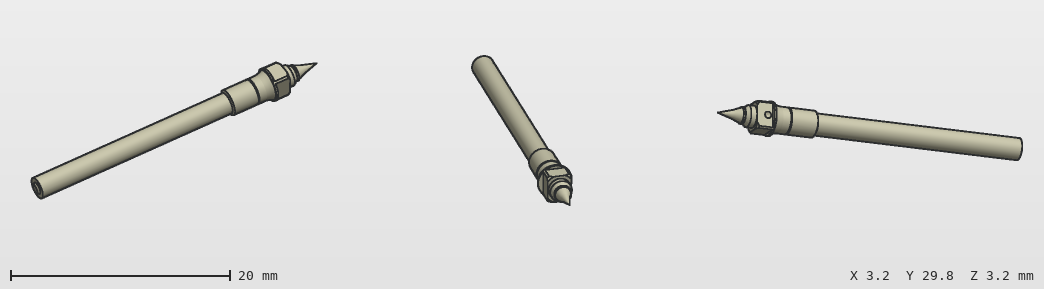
import cadquery as cq
import math

total_length = 29.8

tip_radius = 0.01
needle_break_radius = 0.43
needle_base_radius = 0.74
bead_radius = 0.79
neck_radius = 0.74
nose_radius = 1.03
flange_radius = 1.6
flare_radius = 1.46
flare_hollow = 0.03
sleeve_radius = 1.25
groove_radius = 1.22
tube_radius = 1.03
button_radius = 0.57

needle_break_depth = 1.47
bead_start_depth = 2.27
bead_end_depth = 2.47
nose_start_depth = 2.9
block_start_depth = 3.45
flange_start_depth = 4.98
flange_end_depth = 5.18
sleeve_start_depth = 5.97
groove_start_depth = 6.74
groove_width = 0.1
sleeve_end_depth = 9.5
sleeve_chamfer_length = 0.13

button_height = 0.22
button_chamfer = 0.2

block_width_x = 2.24
block_width_z = 2.6
block_chamfer = 0.2

mark_diameter = 0.62
mark_depth_from_tip = 4.5
mark_angle = 118


def from_tip(depth):
    """Y coordinate of a point lying the given distance behind the tip."""
    return total_length - depth


def turned_body():
    """Revolve the half outline of every round section around Y."""
    groove_end_depth = groove_start_depth + groove_width
    flare_midpoint = (
        (sleeve_radius + flare_radius) / 2 - flare_hollow,
        from_tip((flange_end_depth + sleeve_start_depth) / 2),
    )
    outline = (
        cq.Workplane("XY")
        .moveTo(0, 0)
        .lineTo(button_radius - button_chamfer, 0)
        .lineTo(button_radius, button_chamfer)
        .lineTo(button_radius, button_height)
        .lineTo(tube_radius, button_height)
        .lineTo(tube_radius, from_tip(sleeve_end_depth))
        .lineTo(sleeve_radius, from_tip(sleeve_end_depth - sleeve_chamfer_length))
        .lineTo(sleeve_radius, from_tip(groove_end_depth))
        .lineTo(groove_radius, from_tip(groove_end_depth))
        .lineTo(groove_radius, from_tip(groove_start_depth))
        .lineTo(sleeve_radius, from_tip(groove_start_depth))
        .lineTo(sleeve_radius, from_tip(sleeve_start_depth))
        .threePointArc(flare_midpoint, (flare_radius, from_tip(flange_end_depth)))
        .lineTo(flange_radius, from_tip(flange_end_depth))
        .lineTo(flange_radius, from_tip(flange_start_depth))
        .lineTo(nose_radius, from_tip(flange_start_depth))
        .lineTo(nose_radius, from_tip(nose_start_depth))
        .lineTo(neck_radius, from_tip(bead_end_depth))
        .lineTo(bead_radius, from_tip(bead_end_depth))
        .lineTo(bead_radius, from_tip(bead_start_depth))
        .lineTo(needle_base_radius, from_tip(bead_start_depth))
        .lineTo(needle_break_radius, from_tip(needle_break_depth))
        .lineTo(tip_radius, total_length)
        .lineTo(0, total_length)
        .close()
    )
    return outline.revolve(360, (0, 0, 0), (0, 1, 0))


def wrench_block():
    """Chamfered disc trimmed by flats on all four sides."""
    length = flange_start_depth - block_start_depth
    disc = (
        cq.Workplane("XZ", origin=(0, from_tip(block_start_depth), 0))
        .circle(flange_radius)
        .extrude(length)
        .faces(">Y")
        .chamfer(block_chamfer)
    )
    flats = (
        cq.Workplane("XZ", origin=(0, from_tip(block_start_depth), 0))
        .rect(block_width_x, block_width_z)
        .extrude(length)
    )
    return disc.intersect(flats)


def centre_mark():
    """Cone that opens on the -X flat and points toward +X."""
    mark_radius = mark_diameter / 2
    mark_depth = mark_radius / math.tan(math.radians(mark_angle / 2))
    cone = cq.Solid.makeCone(
        mark_radius,
        0,
        mark_depth,
        cq.Vector(-block_width_x / 2, from_tip(mark_depth_from_tip), 0),
        cq.Vector(1, 0, 0),
    )
    return cq.Workplane(obj=cone)


result = turned_body().union(wrench_block()).cut(centre_mark())